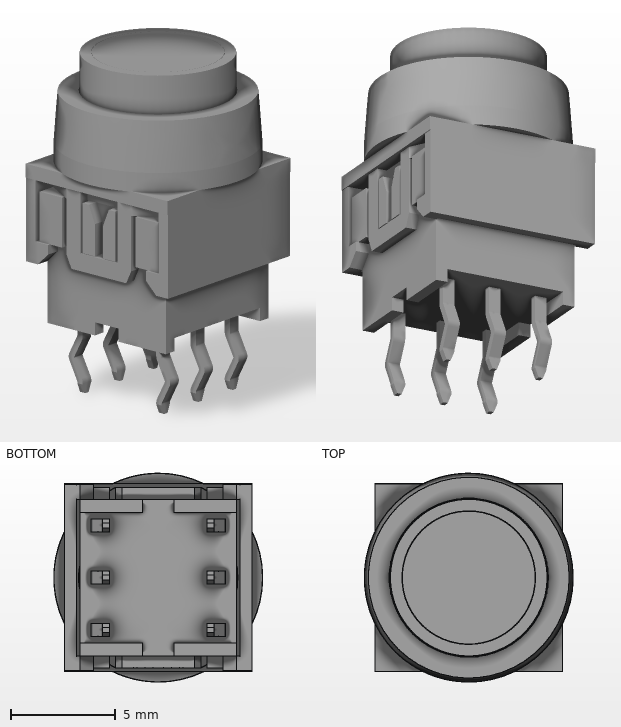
import cadquery as cq
import math

button_top = 17.0
bezel_top = 15.08
bezel_belt = 12.51
flange_top = 11.53
flange_bottom = 10.83
base_top = 10.23
latch_bottom = 7.72
wall_bottom = 6.61
channel_top = 4.16
base_bottom = 3.5

bezel_diameter = 10.0
bezel_top_diameter = 9.6
bezel_bulge = 0.008
bore_diameter = 7.6
button_diameter = 7.5
lens_diameter = 6.35
lens_ring_diameter = 6.4
lens_groove_depth = 0.34
flange_width = 9.0

wall_length = 8.9
wall_inner_x = 3.91
hook_inner_x = 3.1
hook_slope_top = 7.25
wall_outer_x = flange_width / 2
wall_front_y = wall_length / 2

base_width = 7.5
base_front_y = base_width / 2
latch_front_y = 4.32
block_inner_x = 2.33
rail_inner_y = 3.13
rail_notch_width = 1.5

clip_width = 4.1
clip_bottom_width = 3.47
clip_bottom = 6.78
clip_corner_top = 7.45
window_width = 2.35
window_bottom = 7.67
lug_outer_x = 1.02
lug_inner_x = 0.25
lug_inner_top_x = 0.63
lug_slope_bottom = 9.33

neck_slope = math.radians(30)
neck_pocket_y = 3.8

pins_per_row = 3
pin_pitch = 2.5
pin_x = 2.5
pin_thickness = 0.34
pin_width = 0.63
pin_tip_width = 0.24
pin_taper_top = 0.48
pin_knee_z = 1.72
pin_bend_height = 1.1
pin_knee_reach = 0.58
pin_knee_radius = 0.05
pin_bend_radius = 0.14


def block(x_range, y_range, z_range):
    """Rectangular block between pairs of limits."""
    (x0, x1), (y0, y1), (z0, z1) = x_range, y_range, z_range
    return cq.Workplane("XY").box(x1 - x0, y1 - y0, z1 - z0, centered=False).translate((x0, y0, z0))


def front_plate(points, front_y):
    """XZ outline given depth from the base's front face out to front_y on the -Y side."""
    plane = cq.Workplane("XZ", origin=(0, -base_front_y, 0))
    return plane.polyline(points).close().extrude(front_y - base_front_y)


def both_ways(shape, plane):
    return shape.union(shape.mirror(plane))


def make_bezel():
    lower_radius = bezel_diameter / 2
    upper_radius = bezel_top_diameter / 2
    bore_radius = bore_diameter / 2
    middle = ((lower_radius + upper_radius) / 2 + bezel_bulge, (bezel_belt + bezel_top) / 2)
    return (
        cq.Workplane("XZ")
        .moveTo(bore_radius, flange_top)
        .lineTo(lower_radius, flange_top)
        .lineTo(lower_radius, bezel_belt)
        .threePointArc(middle, (upper_radius, bezel_top))
        .lineTo(bore_radius, bezel_top)
        .close()
        .revolve(360, (0, 0, 0), (0, 1, 0))
    )


def make_flange():
    half = flange_width / 2
    flange = block((-half, half), (-half, half), (flange_bottom, flange_top))
    bore = cq.Workplane("XY", origin=(0, 0, flange_bottom)).circle(bore_diameter / 2)
    return flange.cut(bore.extrude(flange_top - flange_bottom))


def make_side_wall():
    return block((wall_inner_x, wall_outer_x), (-wall_front_y, wall_front_y), (wall_bottom, flange_bottom))


def make_hook():
    """Hook that turns from the end of a side wall across the face of the base."""
    outline = [
        (wall_outer_x, latch_bottom),
        (hook_inner_x, latch_bottom),
        (hook_inner_x, hook_slope_top),
        (base_width / 2, wall_bottom),
        (wall_outer_x, wall_bottom),
    ]
    return front_plate(outline, wall_front_y)


def make_neck():
    """Neck with slanted corner faces that run out to the clips' front corners."""
    side_x = base_width / 2
    corner_x = clip_width / 2
    side_y = latch_front_y - (side_x - corner_x) * math.tan(neck_slope)
    outline = [
        (side_x, side_y),
        (corner_x, latch_front_y),
        (-corner_x, latch_front_y),
        (-side_x, side_y),
        (-side_x, -side_y),
        (-corner_x, -latch_front_y),
        (corner_x, -latch_front_y),
        (side_x, -side_y),
    ]
    neck = cq.Workplane("XY", origin=(0, 0, base_top)).polyline(outline).close()
    neck = neck.extrude(flange_bottom - base_top)
    half_window = window_width / 2
    pocket = block((-half_window, half_window), (-latch_front_y, -neck_pocket_y), (base_top, flange_bottom))
    return neck.cut(both_ways(pocket, "XZ"))


def make_corner_block():
    return block((block_inner_x, base_width / 2), (-latch_front_y, -base_front_y), (latch_bottom, base_top))


def make_lug():
    outline = [
        (lug_outer_x, latch_bottom),
        (lug_outer_x, base_top),
        (lug_inner_top_x, base_top),
        (lug_inner_x, lug_slope_bottom),
        (lug_inner_x, latch_bottom),
    ]
    return front_plate(outline, latch_front_y)


def make_clip():
    half = clip_width / 2
    half_bottom = clip_bottom_width / 2
    half_window = window_width / 2
    outline = [
        (-half, flange_bottom),
        (-half, clip_corner_top),
        (-half_bottom, clip_bottom),
        (half_bottom, clip_bottom),
        (half, clip_corner_top),
        (half, flange_bottom),
        (half_window, flange_bottom),
        (half_window, window_bottom),
        (-half_window, window_bottom),
        (-half_window, flange_bottom),
    ]
    return front_plate(outline, latch_front_y)


def make_base():
    half = base_width / 2
    half_notch = rail_notch_width / 2
    base = block((-half, half), (-half, half), (base_bottom, base_top))
    channel = block((-half, half), (-rail_inner_y, rail_inner_y), (base_bottom, channel_top))
    notch = block((-half_notch, half_notch), (-half, half), (base_bottom, channel_top))
    return base.cut(channel).cut(notch)


def make_pin():
    """Kinked pin on the +X side with its width centred on Y = 0."""
    half = pin_thickness / 2
    slope = math.atan2(pin_knee_reach, pin_bend_height)
    mitre = half * math.tan(slope / 2)
    knee_x = pin_x + pin_knee_reach
    knee_half = half / math.cos(slope)
    upper_bend = pin_knee_z + pin_bend_height
    lower_bend = pin_knee_z - pin_bend_height
    outline = [
        (pin_x + half, channel_top),
        (pin_x + half, upper_bend + mitre),
        (knee_x + knee_half, pin_knee_z),
        (pin_x + half, lower_bend - mitre),
        (pin_x + half, 0),
        (pin_x - half, 0),
        (pin_x - half, lower_bend + mitre),
        (knee_x - knee_half, pin_knee_z),
        (pin_x - half, upper_bend - mitre),
        (pin_x - half, channel_top),
    ]
    strip = cq.Workplane("XZ").polyline(outline).close().extrude(pin_width / 2, both=True)
    corners = [
        (knee_x + knee_half, pin_knee_z, pin_knee_radius + pin_thickness),
        (knee_x - knee_half, pin_knee_z, pin_knee_radius),
        (pin_x + half, upper_bend + mitre, pin_bend_radius),
        (pin_x + half, lower_bend - mitre, pin_bend_radius),
        (pin_x - half, upper_bend - mitre, pin_bend_radius + pin_thickness),
        (pin_x - half, lower_bend + mitre, pin_bend_radius + pin_thickness),
    ]
    for corner_x, corner_z, radius in corners:
        corner = cq.selectors.NearestToPointSelector((corner_x, 0, corner_z))
        strip = strip.edges("|Y").edges(corner).fillet(radius)

    tapered_outline = [
        (-pin_tip_width / 2, 0),
        (pin_tip_width / 2, 0),
        (pin_width / 2, pin_taper_top),
        (pin_width / 2, channel_top),
        (-pin_width / 2, channel_top),
        (-pin_width / 2, pin_taper_top),
    ]
    tapered = cq.Workplane("YZ").polyline(tapered_outline).close().extrude(knee_x + pin_thickness)
    return strip.intersect(tapered)


def make_button():
    """Round button with a fine groove around its lens, standing on the neck."""
    button = cq.Workplane("XY", origin=(0, 0, flange_bottom)).circle(button_diameter / 2)
    button = button.extrude(button_top - flange_bottom)
    groove = (
        cq.Workplane("XY", origin=(0, 0, button_top - lens_groove_depth))
        .circle(lens_ring_diameter / 2)
        .circle(lens_diameter / 2)
        .extrude(lens_groove_depth)
    )
    return button.cut(groove)


def make_housing():
    """Bezel and square flange whose side walls hook around the switch."""
    housing = make_flange().union(make_bezel())
    housing = housing.union(both_ways(make_side_wall(), "YZ"))
    return housing.union(both_ways(both_ways(make_hook(), "YZ"), "XZ"))


def make_switch():
    """Base, neck and button with the latch features and the pins."""
    switch = make_base().union(make_neck()).union(make_button())
    for make_feature in (make_corner_block, make_lug):
        switch = switch.union(both_ways(both_ways(make_feature(), "YZ"), "XZ"))
    switch = switch.union(both_ways(make_clip(), "XZ"))
    pin_pair = both_ways(make_pin(), "YZ")
    for index in range(pins_per_row):
        pin_y = (index - (pins_per_row - 1) / 2) * pin_pitch
        switch = switch.union(pin_pair.translate((0, pin_y, 0)))
    return switch


housing = make_housing()
switch = make_switch()
result = cq.Compound.makeCompound([housing.val(), switch.val()])